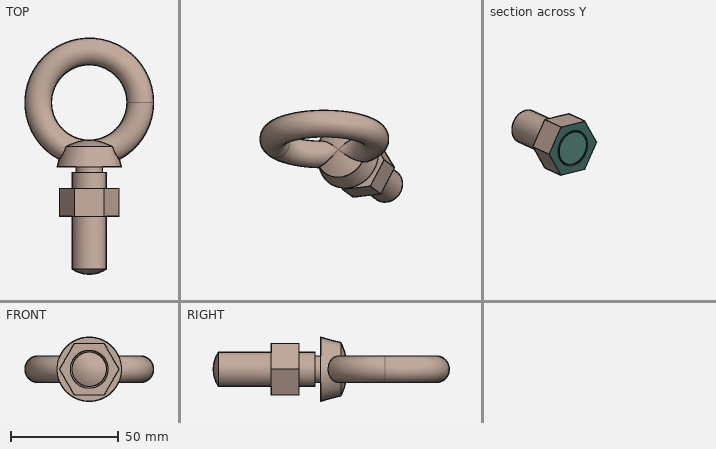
import cadquery as cq
import math

ring_outer_diameter = 60.0
wire_diameter = 12.5
wire_radius = wire_diameter / 2
ring_path_radius = ring_outer_diameter / 2 - wire_radius
ring_hole_radius = ring_path_radius - wire_radius

collar_base_radius = 15.0
collar_edge_radius = 12.5
collar_base_y = -ring_outer_diameter / 2
collar_side_height = 9.5
collar_edge_y = collar_base_y + collar_side_height
collar_top_y = -ring_hole_radius

neck_radius = wire_radius
neck_length = 2.5
shank_radius = 8.0
bolt_length = 50.0
tip_height = 2.5
shank_top_y = collar_base_y - neck_length
tip_y = collar_base_y - bolt_length
shank_end_y = tip_y + tip_height

nut_across_flats = 24.0
nut_across_corners = nut_across_flats / math.cos(math.pi / 6)
nut_thickness = 13.0
nut_distance = 10.0
nut_top_y = collar_base_y - nut_distance
nut_bottom_y = nut_top_y - nut_thickness
nut_hole_radius = shank_radius
countersink_radius = 8.8
countersink_depth = countersink_radius - nut_hole_radius


def dome_sag(radius, rim_radius, height):
    """Drop below the apex, at a given radius, of a spherical cap of this rim and height."""
    sphere_radius = (rim_radius**2 + height**2) / (2 * height)
    return sphere_radius - math.sqrt(sphere_radius**2 - radius**2)


def make_ring():
    """Round wire bent into a closed ring."""
    return cq.Workplane("XY").add(cq.Solid.makeTorus(ring_path_radius, wire_radius))


def make_bolt_stem():
    """Collar, neck and shank as one profile revolved about the bolt axis."""
    collar_mid_radius = collar_edge_radius / 2
    collar_mid_y = collar_top_y - dome_sag(
        collar_mid_radius, collar_edge_radius, collar_top_y - collar_edge_y
    )
    tip_mid_radius = shank_radius / 2
    tip_mid_y = tip_y + dome_sag(tip_mid_radius, shank_radius, tip_height)
    return (
        cq.Workplane("XY")
        .moveTo(0, collar_top_y)
        .threePointArc((collar_mid_radius, collar_mid_y), (collar_edge_radius, collar_edge_y))
        .lineTo(collar_base_radius, collar_base_y)
        .lineTo(neck_radius, collar_base_y)
        .lineTo(neck_radius, shank_top_y)
        .lineTo(shank_radius, shank_top_y)
        .lineTo(shank_radius, shank_end_y)
        .threePointArc((tip_mid_radius, tip_mid_y), (0, tip_y))
        .close()
        .revolve(360, (0, 0, 0), (0, 1, 0))
    )


def make_eye_bolt():
    """Ring and stem joined into one solid."""
    return make_ring().union(make_bolt_stem())


def make_nut():
    """Hexagon nut with corners along X, its hole countersunk at both ends."""
    blank = (
        cq.Workplane("XZ", origin=(0, nut_top_y, 0))
        .polygon(6, nut_across_corners)
        .extrude(nut_thickness)
    )
    hole = (
        cq.Workplane("XY")
        .moveTo(0, nut_top_y)
        .lineTo(countersink_radius, nut_top_y)
        .lineTo(nut_hole_radius, nut_top_y - countersink_depth)
        .lineTo(nut_hole_radius, nut_bottom_y + countersink_depth)
        .lineTo(countersink_radius, nut_bottom_y)
        .lineTo(0, nut_bottom_y)
        .close()
        .revolve(360, (0, 0, 0), (0, 1, 0))
    )
    return blank.cut(hole)


eye_bolt = make_eye_bolt()
nut = make_nut()

result = cq.Compound.makeCompound([eye_bolt.val(), nut.val()])